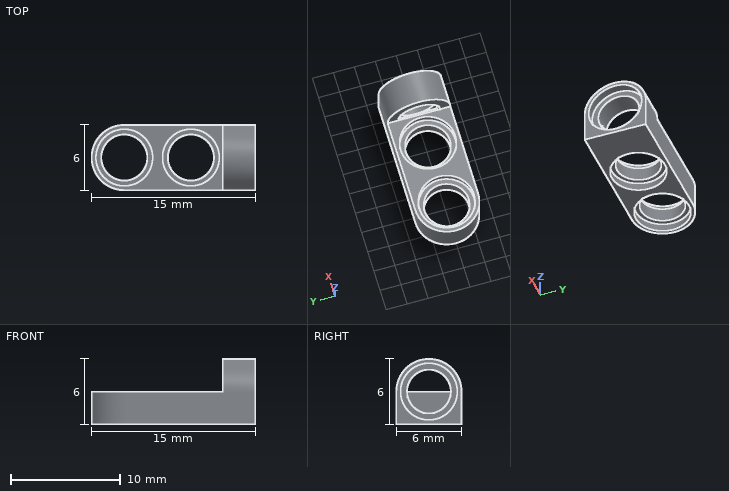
import cadquery as cq

arm_width = 6.0
arm_length = 15.0
arm_thickness = arm_width / 2
end_radius = arm_width / 2

hole_count = 2
hole_pitch = 6.1
hole_diameter = 4.2
recess_diameter = 5.2
recess_depth = 0.8

eye_length = 3.0
eye_bore_diameter = 4.0
eye_recess_diameter = 5.2
eye_recess_depth = 0.9
clearance_length = 1.0

eye_start = arm_length - eye_length
eye_axis_height = arm_thickness
hole_centres = [(end_radius + i * hole_pitch, 0) for i in range(hole_count)]


def cylinder_along_x(start, length, diameter):
    """Cylinder on the eye axis, running in +X from the given start."""
    return (
        cq.Workplane("YZ", origin=(start, 0, eye_axis_height))
        .circle(diameter / 2)
        .extrude(length)
    )


def cylinders_at_holes(bottom, height, diameter):
    """One vertical cylinder at each hole centre."""
    return (
        cq.Workplane("XY", origin=(0, 0, bottom))
        .pushPoints(hole_centres)
        .circle(diameter / 2)
        .extrude(height)
    )


def make_arm():
    """Plate with a full round at X = 0 and a square end."""
    return (
        cq.Workplane("XY")
        .moveTo(end_radius, -arm_width / 2)
        .lineTo(arm_length, -arm_width / 2)
        .lineTo(arm_length, arm_width / 2)
        .lineTo(end_radius, arm_width / 2)
        .threePointArc((0, 0), (end_radius, -arm_width / 2))
        .close()
        .extrude(arm_thickness)
    )


def cut_vertical_holes(body):
    """Through holes with a round recess in the top and bottom faces."""
    body = body.cut(cylinders_at_holes(0, arm_thickness, hole_diameter))
    for bottom in (0, arm_thickness - recess_depth):
        body = body.cut(cylinders_at_holes(bottom, recess_depth, recess_diameter))
    return body


def add_eye(body):
    """Half-round boss above the arm; its lower half merges into the arm."""
    return body.union(cylinder_along_x(eye_start, eye_length, arm_width))


def cut_eye(body):
    """Bore, outer-face recess and the square-sided clearance below the axis."""
    bore = cylinder_along_x(eye_start, eye_length, eye_bore_diameter)
    recess = cylinder_along_x(arm_length - eye_recess_depth, eye_recess_depth, eye_recess_diameter)
    clearance_depth = eye_bore_diameter / 2
    clearance = cq.Workplane("XY").box(
        clearance_length, eye_bore_diameter, clearance_depth, centered=(False, True, False)
    ).translate((eye_start, 0, eye_axis_height - clearance_depth))
    return body.cut(bore).cut(recess).cut(clearance)


result = cut_eye(add_eye(cut_vertical_holes(make_arm())))